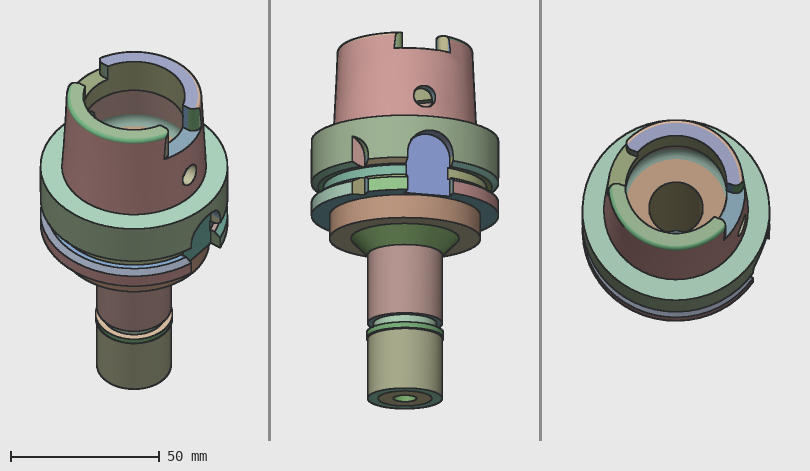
import cadquery as cq
import math


total_height = 122.0

taper_height = 32.0
taper_base_radius = 24.3
taper_slope = 0.05
taper_tip_fillet = 1.2

flange_radius = 31.5
flange_height = 26.0
flange_rim_height = 4.5
groove_floor_radius = 27.5
groove_floor_height = 3.9
groove_chamfer_width = 2.2
groove_chamfer_height = 1.5

collar_radius = 25.4
collar_height = 8.0
cone_top_radius = 18.2
cone_height = 5.7
shank_radius = 12.6
shank_height = 23.9
neck_radius = 10.6

cavity_mouth_radius = 17.1
cavity_mouth_depth = 13.0
cavity_radius = 20.0
cavity_depth = 29.4
cavity_floor_fillet = 2.9

cross_hole_radius = 3.8
cross_hole_depth = 22.8

drive_notch_width = 12.6
drive_notch_round = 2.7
drive_flat_distance = 20.7
left_notch_depth = 5.9
right_notch_depth = 10.0

slot_width = 15.9
slot_floor_distance = 26.5
slot_top_below_face = 4.9
orientation_notch_offset = 20.0

nut_height = 23.0
nut_ring_radius = 12.9
nut_ring_height = 2.0
nut_step_height = 0.2
nut_skirt_radius = 12.6
nut_lip_height = 3.7

collet_radius = 9.0
collet_bore_radius = 3.9
collet_height = 31.7

face_level = total_height - taper_height
flange_bottom = face_level - flange_height
rim_top = flange_bottom + flange_rim_height
groove_bottom = rim_top + groove_chamfer_height
groove_top = groove_bottom + groove_floor_height
upper_flange_bottom = groove_top + groove_chamfer_height
collar_bottom = flange_bottom - collar_height
cone_bottom = collar_bottom - cone_height
shank_bottom = cone_bottom - shank_height
cavity_floor = total_height - cavity_depth

taper_tip_radius = taper_base_radius - taper_slope * taper_height
groove_edge_radius = flange_radius - groove_chamfer_width
slot_radius = slot_width / 2
slot_arch_level = face_level - slot_top_below_face - slot_radius


def revolve_profile(profile):
    """Turn a closed outline, drawn as radius against height, about the Z axis."""
    return profile.close().revolve(360, (0, 0, 0), (0, 1, 0))


def cylinder(radius, bottom, top):
    return cq.Workplane("XY").workplane(offset=bottom).circle(radius).extrude(top - bottom)


def holder_blank():
    outline = (
        cq.Workplane("XZ")
        .moveTo(0, nut_lip_height)
        .lineTo(neck_radius, nut_lip_height)
        .lineTo(neck_radius, shank_bottom)
        .lineTo(shank_radius, shank_bottom)
        .lineTo(shank_radius, cone_bottom)
        .lineTo(cone_top_radius, collar_bottom)
        .lineTo(collar_radius, collar_bottom)
        .lineTo(collar_radius, flange_bottom)
        .lineTo(flange_radius, flange_bottom)
        .lineTo(flange_radius, rim_top)
        .lineTo(groove_edge_radius, groove_bottom)
        .lineTo(groove_floor_radius, groove_bottom)
        .lineTo(groove_floor_radius, groove_top)
        .lineTo(groove_edge_radius, groove_top)
        .lineTo(flange_radius, upper_flange_bottom)
        .lineTo(flange_radius, face_level)
        .lineTo(taper_base_radius, face_level)
        .lineTo(taper_tip_radius, total_height)
        .lineTo(0, total_height)
    )
    return revolve_profile(outline).faces(">Z").edges().fillet(taper_tip_fillet)


def holder_cavity():
    """Undercut clamping cavity, with a narrower mouth and a bore for the collet below it."""
    mouth = cylinder(cavity_mouth_radius, cavity_floor, total_height)
    undercut = cylinder(cavity_radius, cavity_floor, total_height - cavity_mouth_depth)
    undercut = undercut.faces("<Z").edges().fillet(cavity_floor_fillet)
    collet_bore = cylinder(collet_radius, nut_lip_height, cavity_floor)
    return mouth.union(undercut).union(collet_bore)


def cross_hole():
    hole = cq.Workplane("YZ").center(0, total_height - cross_hole_depth).circle(cross_hole_radius)
    return hole.extrude(flange_radius, both=True)


def drive_notch(side, depth):
    """Notch in the taper tip that opens through rounded corners onto an outer flat.

    side is -1 or 1, the sign of X where the notch lies.
    """
    half_width = drive_notch_width / 2
    flared_half_width = half_width + drive_notch_round
    round_start = side * (drive_flat_distance - drive_notch_round)
    flat = side * drive_flat_distance
    outside = side * flange_radius
    mid_sine = drive_notch_round * math.sin(math.pi / 4)
    mid_x = round_start + side * mid_sine
    mid_y = flared_half_width - mid_sine
    return (
        cq.Workplane("XY")
        .workplane(offset=total_height - depth)
        .moveTo(0, -half_width)
        .lineTo(round_start, -half_width)
        .threePointArc((mid_x, -mid_y), (flat, -flared_half_width))
        .lineTo(flat, -flange_radius)
        .lineTo(outside, -flange_radius)
        .lineTo(outside, flange_radius)
        .lineTo(flat, flange_radius)
        .lineTo(flat, flared_half_width)
        .threePointArc((mid_x, mid_y), (round_start, half_width))
        .lineTo(0, half_width)
        .close()
        .extrude(depth)
    )


def arched_slot(side, centre_y, floor_distance):
    """Slot cut along X into the flange, round at the top and open at the flange bottom."""
    return (
        cq.Workplane("YZ")
        .workplane(offset=side * floor_distance)
        .moveTo(centre_y - slot_radius, flange_bottom)
        .lineTo(centre_y - slot_radius, slot_arch_level)
        .threePointArc(
            (centre_y, slot_arch_level + slot_radius),
            (centre_y + slot_radius, slot_arch_level),
        )
        .lineTo(centre_y + slot_radius, flange_bottom)
        .close()
        .extrude(side * (flange_radius - floor_distance))
    )


def make_holder():
    holder = holder_blank().cut(holder_cavity()).cut(cross_hole())
    for side, notch_depth in ((-1, left_notch_depth), (1, right_notch_depth)):
        holder = holder.cut(drive_notch(side, notch_depth))
        holder = holder.cut(arched_slot(side, 0, slot_floor_distance))
    orientation_centre = orientation_notch_offset + slot_radius
    return holder.cut(arched_slot(-1, orientation_centre, orientation_notch_offset))


def make_nut():
    ring_bottom = nut_height - nut_ring_height
    skirt_top = ring_bottom - nut_step_height
    outline = (
        cq.Workplane("XZ")
        .moveTo(collet_radius, 0)
        .lineTo(nut_skirt_radius, 0)
        .lineTo(nut_skirt_radius, skirt_top)
        .lineTo(nut_ring_radius, ring_bottom)
        .lineTo(nut_ring_radius, nut_height)
        .lineTo(neck_radius, nut_height)
        .lineTo(neck_radius, nut_lip_height)
        .lineTo(collet_radius, nut_lip_height)
    )
    return revolve_profile(outline)


def make_collet():
    sleeve = cylinder(collet_radius, 0, collet_height)
    return sleeve.cut(cylinder(collet_bore_radius, 0, collet_height))


holder = make_holder()
nut = make_nut()
collet = make_collet()

result = cq.Compound.makeCompound([holder.solids().val(), nut.solids().val(), collet.solids().val()])